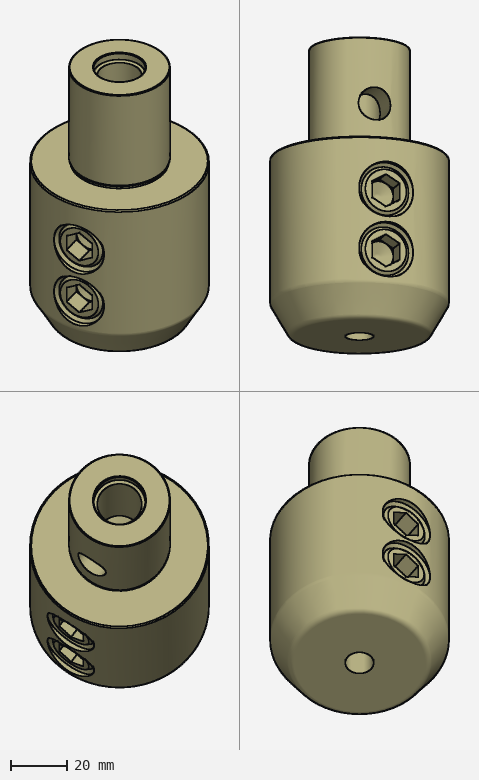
import cadquery as cq
import math

total_height = 105.0
body_diameter = 63.5
body_radius = body_diameter / 2
shank_radius = 18.0
shank_length = 40.0
shoulder_z = total_height - shank_length

nose_height = 12.0
nose_angle = 30.0
nose_radius = body_radius - nose_height * math.tan(math.radians(nose_angle))
nose_fillet = 2.5

shoulder_chamfer = 0.5
shank_chamfer = 0.3
undercut_depth = 0.4
undercut_taper_length = 0.7
undercut_height = 1.6

counterbore_chamfer = 0.3
counterbore_radius = 9.1
counterbore_depth = 2.8
threaded_radius = 7.9
threaded_seat_height = 0.5
threaded_end_depth = 31.5
through_radius = 5.0
drill_half_angle = 59.0

locking_radius = 6.0
locking_z = 80.8

screw_heights = (23.9, 46.0)
screw_sides = (0.0, 180.0)
screw_radius = 8.8
screw_face_y = 29.8
screw_length = 16.0
screw_inner_y = screw_face_y - screw_length
screw_chamfer = 1.2
recess_radius = 10.1
recess_floor_y = 29.9
countersink_size = recess_radius - screw_radius
hex_sides = 6
hex_across_flats = 10.3
hex_depth = 7.4


def make_blank():
    """Turned outside: nose, body, undercut and shank."""
    undercut_radius = shank_radius - undercut_depth
    undercut_top = shoulder_z + undercut_height
    outline = (
        cq.Workplane("XZ")
        .moveTo(0, 0)
        .lineTo(nose_radius, 0)
        .lineTo(body_radius, nose_height)
        .lineTo(body_radius, shoulder_z - shoulder_chamfer)
        .lineTo(body_radius - shoulder_chamfer, shoulder_z)
        .lineTo(undercut_radius, shoulder_z)
        .lineTo(undercut_radius, undercut_top - undercut_taper_length)
        .lineTo(shank_radius, undercut_top)
        .lineTo(shank_radius, total_height - shank_chamfer)
        .lineTo(shank_radius - shank_chamfer, total_height)
        .lineTo(0, total_height)
        .close()
    )
    blank = outline.revolve(360, (0, 0), (0, 1))
    nose_rims = blank.edges("%CIRCLE").sort(lambda edge: edge.Center().z)[:2]
    return nose_rims.fillet(nose_fillet)


def make_bore():
    """Tool shape of the stepped bore through the whole height."""
    counterbore_floor = total_height - counterbore_depth
    threaded_end = total_height - threaded_end_depth
    cone_height = (threaded_radius - through_radius) / math.tan(math.radians(drill_half_angle))
    return (
        cq.Workplane("XZ")
        .moveTo(0, 0)
        .lineTo(through_radius, 0)
        .lineTo(through_radius, threaded_end - cone_height)
        .lineTo(threaded_radius, threaded_end)
        .lineTo(threaded_radius, counterbore_floor - threaded_seat_height)
        .lineTo(counterbore_radius, counterbore_floor)
        .lineTo(counterbore_radius, total_height - counterbore_chamfer)
        .lineTo(counterbore_radius + counterbore_chamfer, total_height)
        .lineTo(0, total_height)
        .close()
        .revolve(360, (0, 0), (0, 1))
    )


def make_locking_hole():
    """Radial hole from the +Y side of the shank into the central bore."""
    return cq.Workplane("XZ").center(0, locking_z).circle(locking_radius).extrude(-shank_radius)


def make_screw_hole(side, height):
    """Tool shape of a blind screw hole with a countersink below a shallow cylindrical recess."""
    hole = (
        cq.Workplane("XY")
        .moveTo(0, -screw_inner_y)
        .lineTo(screw_radius, -screw_inner_y)
        .lineTo(screw_radius, -recess_floor_y + countersink_size)
        .lineTo(recess_radius, -recess_floor_y)
        .lineTo(recess_radius, -body_radius)
        .lineTo(0, -body_radius)
        .close()
        .revolve(360, (0, 0), (0, 1))
    )
    return hole.translate((0, 0, height)).rotate((0, 0, 0), (0, 0, 1), side)


def make_screw(side, height):
    """Set screw with a chamfered outer end and a hexagon socket."""
    screw = (
        cq.Workplane("XZ", origin=(0, -screw_inner_y, height))
        .circle(screw_radius)
        .extrude(screw_length)
        .faces("<Y")
        .chamfer(screw_chamfer)
    )
    across_corners = hex_across_flats / math.cos(math.pi / hex_sides)
    socket = (
        cq.Workplane("XZ", origin=(0, -screw_face_y, height))
        .transformed(rotate=(0, 0, 90))
        .polygon(hex_sides, across_corners)
        .extrude(-hex_depth)
    )
    cone_radius = hex_across_flats / 2
    cone_height = cone_radius / math.tan(math.radians(drill_half_angle))
    cone_base = cq.Vector(0, hex_depth - screw_face_y, height)
    cone = cq.Solid.makeCone(cone_radius, 0, cone_height, cone_base, cq.Vector(0, 1, 0))
    return screw.cut(socket).cut(cq.Workplane(cone)).rotate((0, 0, 0), (0, 0, 1), side)


def make_housing():
    """Tool holder body with its bore, locking hole and screw holes."""
    housing = make_blank().cut(make_bore()).cut(make_locking_hole())
    for side in screw_sides:
        for height in screw_heights:
            housing = housing.cut(make_screw_hole(side, height))
    return housing


housing = make_housing()
screws = [make_screw(side, height) for side in screw_sides for height in screw_heights]

result = cq.Compound.makeCompound([housing.val(), *[screw.val() for screw in screws]])